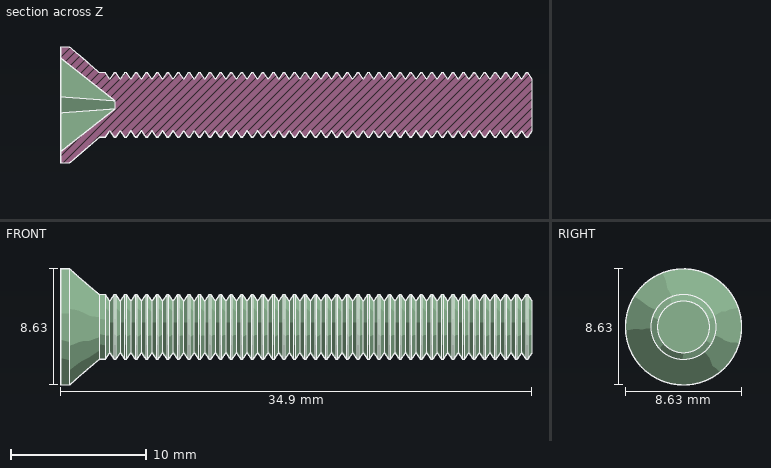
import cadquery as cq

total_length = 34.92
head_diameter = 8.63
rim_thickness = 0.65
head_height = 2.85

thread_radius = 2.4
thread_depth = 0.5
crest_count = 40
crest_width = 0.125
flank_width = 0.328

slot_length = 6.9
slot_width = 1.2
recess_floor_width = 0.6
recess_depth = 4.0

head_radius = head_diameter / 2
root_radius = thread_radius - thread_depth

pitch = 2 * flank_width + crest_width
thread_start = total_length - crest_count * pitch - flank_width


def screw_body():
    """Head, neck and threaded shank, revolved from a single half profile."""
    profile_plane = cq.Plane(origin=(0, 0, 0), xDir=(1, 0, 0), normal=(0, 0, -1))
    profile = (
        cq.Workplane(profile_plane)
        .moveTo(0, 0)
        .lineTo(0, head_radius)
        .lineTo(rim_thickness, head_radius)
        .lineTo(head_height, thread_radius)
        .lineTo(thread_start, thread_radius)
    )
    for index in range(crest_count):
        root = thread_start + index * pitch + flank_width
        crest = root + flank_width
        profile = (
            profile.lineTo(root, root_radius)
            .lineTo(crest, thread_radius)
            .lineTo(crest + crest_width, thread_radius)
        )
    profile = profile.lineTo(total_length, root_radius).lineTo(total_length, 0).close()
    return profile.revolve(360, (0, 0, 0), (1, 0, 0))


def tapered_slot(size_y, size_z):
    """Slot that narrows from its opening in the head face to the square floor."""
    return (
        cq.Workplane("YZ")
        .rect(size_y, size_z)
        .workplane(offset=recess_depth)
        .rect(recess_floor_width, recess_floor_width)
        .loft(ruled=True)
    )


cross_recess = tapered_slot(slot_length, slot_width).union(tapered_slot(slot_width, slot_length))
result = screw_body().cut(cross_recess)